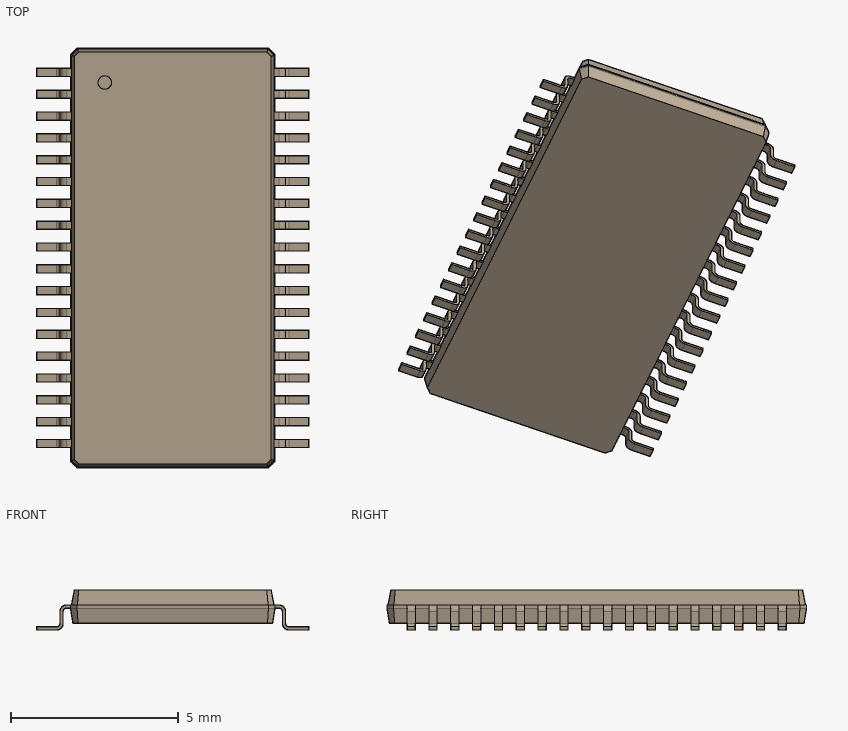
import cadquery as cq
import math

BODY_WIDTH = 6.1
BODY_LENGTH = 12.5
BODY_BOTTOM = 0.2
BODY_TOP = 1.2
CORNER_CHAMFER = 0.2
LOWER_DRAFT_INSET = 0.08
UPPER_DRAFT_INSET = 0.09
UPPER_STEP = 0.031

LEADS_PER_SIDE = 18
LEAD_PITCH = 0.65
LEAD_WIDTH = 0.25
LEAD_THICKNESS = 0.1
LEAD_SPAN = 8.1
SHANK_OUTER_X = 3.36
INNER_BEND_RADIUS = 0.1
LEAD_EMBED = 0.25

MARK_DIAMETER = 0.4
MARK_X = -2.02
MARK_Y = 5.22
MARK_DEPTH = 0.04

BODY_MIDDLE = (BODY_BOTTOM + BODY_TOP) / 2
BAND_BOTTOM = BODY_MIDDLE - LEAD_THICKNESS / 2
BAND_TOP = BODY_MIDDLE + LEAD_THICKNESS / 2


def chamfered_outline(inset):
    """Corner points of the body rectangle, moved inward by inset on every side."""
    half_width = BODY_WIDTH / 2 - inset
    half_length = BODY_LENGTH / 2 - inset
    leg = CORNER_CHAMFER - (2 - math.sqrt(2)) * inset
    short_x = half_width - leg
    short_y = half_length - leg
    return [
        (half_width, -short_y),
        (half_width, short_y),
        (short_x, half_length),
        (-short_x, half_length),
        (-half_width, short_y),
        (-half_width, -short_y),
        (-short_x, -half_length),
        (short_x, -half_length),
    ]


def body_layer(start_z, start_inset, end_z, end_inset):
    """Straight-sided solid between two chamfered rectangles at different heights."""
    return (
        cq.Workplane("XY", origin=(0, 0, start_z))
        .polyline(chamfered_outline(start_inset))
        .close()
        .workplane(offset=end_z - start_z)
        .polyline(chamfered_outline(end_inset))
        .close()
        .loft(ruled=True)
    )


def make_body():
    """Upright middle band, a drafted lower half and a slightly stepped-in drafted upper half."""
    lower = body_layer(BODY_BOTTOM, LOWER_DRAFT_INSET, BAND_BOTTOM, 0)
    band = body_layer(BAND_BOTTOM, 0, BAND_TOP, 0)
    upper = body_layer(BAND_TOP, UPPER_STEP, BODY_TOP, UPPER_STEP + UPPER_DRAFT_INSET)
    return band.union(upper).union(lower)


def make_lead():
    """One lead on the +X side, centred on Y = 0, with its foot resting on Z = 0."""
    inner = INNER_BEND_RADIUS
    outer = INNER_BEND_RADIUS + LEAD_THICKNESS
    shank_inner_x = SHANK_OUTER_X - LEAD_THICKNESS
    root_x = BODY_WIDTH / 2 - LEAD_EMBED
    tip_x = LEAD_SPAN / 2
    shoulder_x = SHANK_OUTER_X - outer
    shoulder_z = BAND_TOP - outer
    heel_x = shank_inner_x + outer
    diagonal = math.sqrt(0.5)
    return (
        cq.Workplane("XZ", origin=(0, LEAD_WIDTH / 2, 0))
        .moveTo(root_x, BAND_TOP)
        .lineTo(shoulder_x, BAND_TOP)
        .threePointArc(
            (shoulder_x + outer * diagonal, shoulder_z + outer * diagonal),
            (SHANK_OUTER_X, shoulder_z),
        )
        .lineTo(SHANK_OUTER_X, outer)
        .threePointArc(
            (heel_x - inner * diagonal, outer - inner * diagonal),
            (heel_x, LEAD_THICKNESS),
        )
        .lineTo(tip_x, LEAD_THICKNESS)
        .lineTo(tip_x, 0)
        .lineTo(heel_x, 0)
        .threePointArc(
            (heel_x - outer * diagonal, outer - outer * diagonal),
            (shank_inner_x, outer),
        )
        .lineTo(shank_inner_x, shoulder_z)
        .threePointArc(
            (shoulder_x + inner * diagonal, shoulder_z + inner * diagonal),
            (shoulder_x, BAND_BOTTOM),
        )
        .lineTo(root_x, BAND_BOTTOM)
        .close()
        .extrude(LEAD_WIDTH)
    )


def add_leads(body):
    """Row of evenly spaced leads along each long side."""
    right_lead = make_lead()
    left_lead = right_lead.mirror("YZ")
    first_y = -LEAD_PITCH * (LEADS_PER_SIDE - 1) / 2
    for index in range(LEADS_PER_SIDE):
        lead_y = first_y + index * LEAD_PITCH
        body = body.union(right_lead.translate((0, lead_y, 0)))
        body = body.union(left_lead.translate((0, lead_y, 0)))
    return body


def make_pin_mark():
    """Shallow round recess beside the first lead."""
    return (
        cq.Workplane("XY", origin=(MARK_X, MARK_Y, BODY_TOP))
        .circle(MARK_DIAMETER / 2)
        .extrude(-MARK_DEPTH)
    )


result = add_leads(make_body()).cut(make_pin_mark())